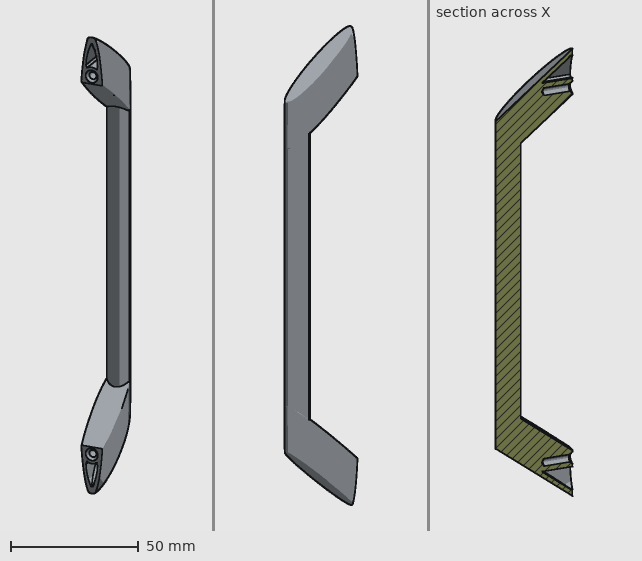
import cadquery as cq
import math

TOTAL_LENGTH = 192.4
TOTAL_DEPTH = 32.56
LEG_TILT = 38.5
LEG_HEIGHT = 19.75
LEG_EDGE_RADIUS = 0.6
TIP_ROUNDING_DROP = 0.03

INNER_HALF_WIDTH = 5.865
INNER_REAR_LENGTH = 17.0
INNER_FRONT_LENGTH = 25.2
OUTER_HALF_WIDTH = 5.4
OUTER_REAR_LENGTH = 16.3
OUTER_FRONT_LENGTH = 16.6

BAR_NARROWING = 0.05
BAR_EDGE_DEPTH = 7.75
BAR_DEPTH = 10.7
BAR_ENGAGEMENT = 1.5

HOLE_HEIGHT = 79.65
HOLE_DIAMETER = 3.0
HOLE_DEPTH = 12.0
HOLE_POINT_ANGLE = 118.0
COUNTERSINK_DIAMETER = 5.2
COUNTERSINK_ANGLE = 90.0

POCKET_HALF_WIDTH = 2.5
POCKET_HOLE_CLEARANCE = 3.9
POCKET_CORNER_X = 2.1
POCKET_SHOULDER_HEIGHT = 84.1
POCKET_SIDE_POINT = (1.95, 88.4)
POCKET_TIP_START = (0.45, 92.9)
POCKET_TIP_HEIGHT = 93.3
POCKET_ROOF = 2.0

TILT = math.radians(LEG_TILT)
LEG_DIRECTION = cq.Vector(0, -math.cos(TILT), math.sin(TILT))
LEG_NORMAL = cq.Vector(0, math.sin(TILT), math.cos(TILT))
OUTER_FACE_FRONT = TOTAL_LENGTH / 2 + TIP_ROUNDING_DROP
INNER_FACE_FRONT = OUTER_FACE_FRONT - LEG_HEIGHT


def half_ellipse(center, length, half_width, start_angle):
    """Half of an ellipse on a leg face; angles are counted from the direction of the tip."""
    end_angle = start_angle + 180
    return cq.Edge.makeEllipse(length, half_width, center, LEG_NORMAL, LEG_DIRECTION, start_angle, end_angle)


def lens_wire(front_height, half_width, rear_length, front_length):
    """Lens outline on a tilted plane that meets the mounting face at front_height."""
    center_y = TOTAL_DEPTH - rear_length
    center = cq.Vector(0, center_y, front_height - center_y * math.tan(TILT))
    stretch = 1 / math.cos(TILT)
    front = half_ellipse(center, front_length * stretch, half_width, -90)
    rear = half_ellipse(center, rear_length * stretch, half_width, 90)
    return cq.Wire.assembleEdges([front, rear])


def make_leg():
    """Upper leg: walls ruled between the two lens faces, edges rounded, cut flat at Y = 0."""
    inner = lens_wire(INNER_FACE_FRONT, INNER_HALF_WIDTH, INNER_REAR_LENGTH, INNER_FRONT_LENGTH)
    outer = lens_wire(OUTER_FACE_FRONT, OUTER_HALF_WIDTH, OUTER_REAR_LENGTH, OUTER_FRONT_LENGTH)
    leg = cq.Workplane(cq.Solid.makeLoft([inner, outer], True))
    inner_and_outer_faces = leg.faces(cq.selectors.ParallelDirSelector(LEG_NORMAL))
    leg = inner_and_outer_faces.edges().fillet(LEG_EDGE_RADIUS)
    behind_mounting_face = cq.Workplane("XY").box(
        2 * TOTAL_DEPTH, 2 * TOTAL_DEPTH, 2 * TOTAL_LENGTH, centered=(True, False, True)
    )
    return leg.intersect(behind_mounting_face)


def make_screw_hole():
    """Countersunk blind hole along Y with a drill-point bottom."""
    radius = HOLE_DIAMETER / 2
    sink_radius = COUNTERSINK_DIAMETER / 2
    sink_depth = (sink_radius - radius) / math.tan(math.radians(COUNTERSINK_ANGLE / 2))
    point_depth = radius / math.tan(math.radians(HOLE_POINT_ANGLE / 2))
    half_section = (
        cq.Workplane("XY")
        .lineTo(sink_radius, 0)
        .lineTo(radius, sink_depth)
        .lineTo(radius, HOLE_DEPTH)
        .lineTo(0, HOLE_DEPTH + point_depth)
        .close()
    )
    hole = half_section.revolve(360, (0, 0, 0), (0, 1, 0))
    return hole.translate((0, 0, HOLE_HEIGHT))


def make_pocket():
    """Pocket cut straight back from the mounting face down to a floor parallel to the outer face."""
    corner_z = HOLE_HEIGHT + math.sqrt(POCKET_HOLE_CLEARANCE**2 - POCKET_CORNER_X**2)
    side_x, side_z = POCKET_SIDE_POINT
    tip_x, tip_z = POCKET_TIP_START
    prism = (
        cq.Workplane("XZ")
        .moveTo(-POCKET_CORNER_X, corner_z)
        .threePointArc((0, HOLE_HEIGHT + POCKET_HOLE_CLEARANCE), (POCKET_CORNER_X, corner_z))
        .lineTo(POCKET_HALF_WIDTH, POCKET_SHOULDER_HEIGHT)
        .threePointArc((side_x, side_z), (tip_x, tip_z))
        .threePointArc((0, POCKET_TIP_HEIGHT), (-tip_x, tip_z))
        .threePointArc((-side_x, side_z), (-POCKET_HALF_WIDTH, POCKET_SHOULDER_HEIGHT))
        .close()
        .extrude(-TOTAL_DEPTH)
    )
    floor_front = OUTER_FACE_FRONT - POCKET_ROOF / math.cos(TILT)
    floor_rear = floor_front - TOTAL_DEPTH * math.tan(TILT)
    under_floor = (
        cq.Workplane("YZ")
        .polyline([(0, 0), (0, floor_front), (TOTAL_DEPTH, floor_rear), (TOTAL_DEPTH, 0)])
        .close()
        .extrude(POCKET_HALF_WIDTH * 2, both=True)
    )
    return prism.intersect(under_floor)


def make_bar():
    """Bar of lens-shaped back and round front, with both ends cut parallel to the legs, just inside them."""
    half_width = INNER_HALF_WIDTH - BAR_NARROWING
    rear_length = INNER_REAR_LENGTH - BAR_NARROWING
    center_y = TOTAL_DEPTH - INNER_REAR_LENGTH
    edge_y = TOTAL_DEPTH - BAR_EDGE_DEPTH
    front_y = TOTAL_DEPTH - BAR_DEPTH
    half_length = INNER_FACE_FRONT + BAR_ENGAGEMENT
    edge_angle = math.acos((edge_y - center_y) / rear_length)
    edge_x = half_width * math.sin(edge_angle)
    sweep = math.degrees(edge_angle)
    center = cq.Vector(0, center_y, -half_length)
    to_rear = cq.Vector(0, 1, 0)
    upward = cq.Vector(0, 0, 1)
    back = cq.Edge.makeEllipse(rear_length, half_width, center, upward, to_rear, -sweep, sweep)
    front = cq.Edge.makeThreePointArc(
        cq.Vector(-edge_x, edge_y, -half_length),
        cq.Vector(0, front_y, -half_length),
        cq.Vector(edge_x, edge_y, -half_length),
    )
    section = cq.Wire.assembleEdges([back, front])
    bar = cq.Workplane(cq.Solid.extrudeLinear(section, [], upward * (2 * half_length)))
    rear_half_length = half_length - TOTAL_DEPTH * math.tan(TILT)
    between_leg_slopes = (
        cq.Workplane("YZ")
        .moveTo(0, -half_length)
        .lineTo(TOTAL_DEPTH, -rear_half_length)
        .lineTo(TOTAL_DEPTH, rear_half_length)
        .lineTo(0, half_length)
        .close()
        .extrude(2 * INNER_HALF_WIDTH, both=True)
    )
    return bar.intersect(between_leg_slopes)


upper_leg = make_leg().cut(make_screw_hole()).cut(make_pocket())
result = make_bar().union(upper_leg).union(upper_leg.mirror("XY"))